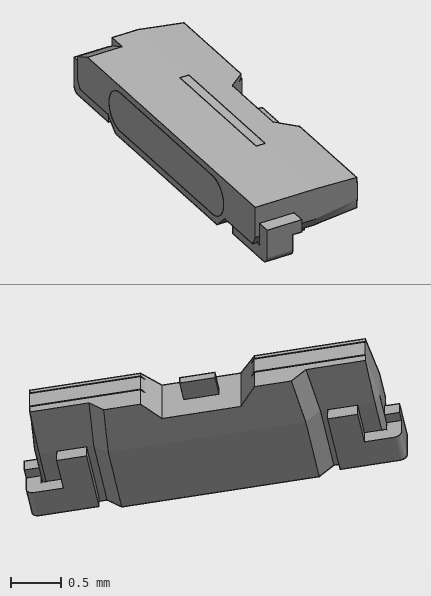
import cadquery as cq

length = 3.8
depth = 1.21
height = 0.6

upright_thickness = 0.152
foot_thickness = 0.15
housing_half = length / 2 - upright_thickness
split_y = 0.7
pad_proud = 0.0095
rear_y = depth - pad_proud
taper = 0.05
keel_bottom_half = 1.0
keel_top_half = keel_bottom_half + foot_thickness
corner_width = taper
corner_height = 0.1
rear_corner_top = 0.285

bevel_length = 0.2
bevel_height = 0.1
bevel_depth = 0.4

mark_depth = 0.002
window_length = 2.255
window_height = 0.45
window_center_z = 0.3
bar_length = 1.5
bar_width = 0.103

notch_depth = 0.213
notch_floor_half = 0.4
notch_mouth_half = 0.585
stub_width = 0.357
stub_bottom = 0.28
stub_top = 0.37

pad_bottom = 0.28
pad_top = 0.495
pad_tip_half = 0.525
pad_mouth_half = 0.575
pad_outer_half = housing_half - taper
pad_tip_y = 1.132

terminal_front = 0.05
terminal_back = 0.345
ear_back = 0.45
ear_bottom = 0.255
terminal_top = 0.4
foot_length = 0.68
foot_radius = 0.075
tail_length = 0.305


def box(x_range, y_range, z_range):
    """Axis-aligned block from its limits."""
    size = [high - low for low, high in (x_range, y_range, z_range)]
    corner = (x_range[0], y_range[0], z_range[0])
    return cq.Workplane("XY").box(*size, centered=False).translate(corner)


def section(y, half_profile):
    """Wire at depth y from the right half of a profile, mirrored about X = 0."""
    left = [(-x, z) for x, z in reversed(half_profile)]
    points = [cq.Vector(x, y, z) for x, z in half_profile + left]
    return cq.Wire.makePolygon(points, close=True)


def make_housing():
    front_profile = [
        (keel_bottom_half, 0),
        (keel_top_half, foot_thickness),
        (housing_half - corner_width, foot_thickness),
        (housing_half, foot_thickness + corner_height),
        (housing_half, height),
    ]
    rear_half = housing_half - taper
    rear_profile = [
        (keel_bottom_half - taper, taper),
        (keel_top_half - taper, foot_thickness + taper),
        (rear_half, foot_thickness + taper),
        (rear_half, rear_corner_top),
        (rear_half, height - taper),
    ]
    split_wire = section(split_y, front_profile)
    front = cq.Solid.makeLoft([section(0, front_profile), split_wire], True)
    rear = cq.Solid.makeLoft([split_wire, section(rear_y, rear_profile)], True)
    return cq.Workplane(front).union(cq.Workplane(rear))


def make_bevel_cutter():
    return (
        cq.Workplane("XZ")
        .polyline([
            (-housing_half, height),
            (-housing_half + bevel_length, height),
            (-housing_half, height - bevel_height),
        ])
        .close()
        .extrude(-bevel_depth)
    )


def make_notch_cutter():
    floor_y = depth - notch_depth
    return (
        cq.Workplane("XY")
        .polyline([
            (-notch_floor_half, floor_y),
            (notch_floor_half, floor_y),
            (notch_mouth_half, depth),
            (-notch_mouth_half, depth),
        ])
        .close()
        .extrude(height)
    )


def make_pad():
    """Pad on the +X side, whose tip starts on the notch flank."""
    return (
        cq.Workplane("XY", origin=(0, 0, pad_bottom))
        .polyline([
            (pad_tip_half, pad_tip_y),
            (pad_outer_half, rear_y),
            (pad_outer_half, depth),
            (pad_mouth_half, depth),
        ])
        .close()
        .extrude(pad_top - pad_bottom)
    )


def make_window_mark():
    return (
        cq.Workplane("XZ")
        .center(0, window_center_z)
        .slot2D(window_length, window_height)
        .extrude(-mark_depth)
    )


def make_bar_mark():
    return box(
        (-bar_length / 2, bar_length / 2),
        (split_y - bar_width, split_y),
        (height - mark_depth, height),
    )


def make_stub():
    return box(
        (-stub_width / 2, stub_width / 2),
        (split_y, depth),
        (stub_bottom, stub_top),
    )


def make_terminal():
    """Terminal on the +X end: upright with an ear, and a foot with a tail."""
    outer = length / 2
    foot_end = outer - foot_length
    across = (terminal_front, terminal_back)
    upright = box((housing_half, outer), across, (0, terminal_top))
    foot = box((foot_end, outer), across, (0, foot_thickness))
    bent = upright.union(foot).edges("|Y and >X and <Z").fillet(foot_radius)
    ear = box((housing_half, outer), (terminal_back, ear_back), (ear_bottom, terminal_top))
    tail = box(
        (foot_end, foot_end + tail_length),
        (terminal_back, split_y),
        (0, foot_thickness),
    )
    return bent.union(ear).union(tail)


housing = make_housing()
for cutter in (make_bevel_cutter(), make_notch_cutter(), make_window_mark(), make_bar_mark()):
    housing = housing.cut(cutter)

pair_half = make_pad().union(make_terminal())
result = housing.union(make_stub()).union(pair_half).union(pair_half.mirror("YZ"))